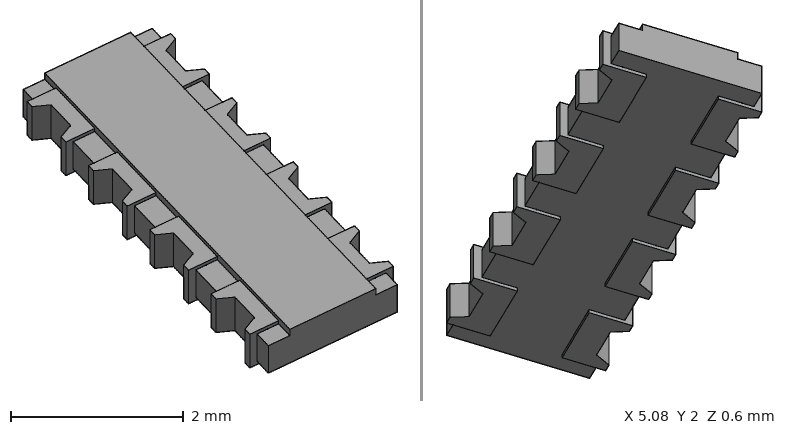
import cadquery as cq

LENGTH = 5.08
TOTAL_WIDTH = 2.0
TOTAL_HEIGHT = 0.6

BODY_WIDTH = 1.8
COVER_WIDTH = 1.2
COVER_THICKNESS = 0.1

TERMINALS_PER_SIDE = 4
PITCH = LENGTH / TERMINALS_PER_SIDE
TERMINAL_WIDTH = 0.805
PLATE_THICKNESS = 0.05
FOOT_LENGTH = 0.55

NOTCH_DEPTH = 0.2
NOTCH_MOUTH_WIDTH = 0.6
NOTCH_FLOOR_WIDTH = 0.405

BODY_BOTTOM = PLATE_THICKNESS
BODY_TOP = TOTAL_HEIGHT - COVER_THICKNESS
TERMINAL_TOP = BODY_TOP + PLATE_THICKNESS
TIP_Y = TOTAL_WIDTH / 2
FLANGE_INNER_Y = COVER_WIDTH / 2
FOOT_INNER_Y = TIP_Y - FOOT_LENGTH
NOTCH_FLOOR_Y = TIP_Y - NOTCH_DEPTH
WALL_INNER_Y = NOTCH_FLOOR_Y - PLATE_THICKNESS

TERMINAL_XS = [(i - (TERMINALS_PER_SIDE - 1) / 2) * PITCH for i in range(TERMINALS_PER_SIDE)]
SIDE_ANGLES = [0, 180]


def layer(width, bottom, top):
    """Full-length block, centred in X and Y, between two levels."""
    return cq.Workplane("XY", origin=(0, 0, bottom)).rect(LENGTH, width).extrude(top - bottom)


def terminal_recess(x, angle):
    """Volume of the body taken up by one terminal wall, open at the body side."""
    depth = BODY_WIDTH / 2 - WALL_INNER_Y
    centre_y = WALL_INNER_Y + depth / 2
    return (
        cq.Workplane("XY", origin=(0, 0, BODY_BOTTOM))
        .center(x, centre_y)
        .rect(TERMINAL_WIDTH, depth)
        .extrude(BODY_TOP - BODY_BOTTOM)
        .rotate((0, 0, 0), (0, 0, 1), angle)
    )


def make_body():
    """Ceramic block and cover layer, recessed along both sides for the terminals."""
    body = layer(BODY_WIDTH, BODY_BOTTOM, BODY_TOP).union(layer(COVER_WIDTH, BODY_TOP, TOTAL_HEIGHT))
    for angle in SIDE_ANGLES:
        for x in TERMINAL_XS:
            body = body.cut(terminal_recess(x, angle))
    return body


def make_terminal(x, angle):
    """C-shaped terminal gripping the body edge, with a notch through its full height."""
    profile = [
        (TIP_Y, 0),
        (TIP_Y, TERMINAL_TOP),
        (FLANGE_INNER_Y, TERMINAL_TOP),
        (FLANGE_INNER_Y, BODY_TOP),
        (WALL_INNER_Y, BODY_TOP),
        (WALL_INNER_Y, BODY_BOTTOM),
        (FOOT_INNER_Y, BODY_BOTTOM),
        (FOOT_INNER_Y, 0),
    ]
    clip = (
        cq.Workplane("YZ", origin=(x, 0, 0))
        .polyline(profile)
        .close()
        .extrude(TERMINAL_WIDTH / 2, both=True)
    )
    notch = (
        cq.Workplane("XY")
        .polyline([
            (x - NOTCH_MOUTH_WIDTH / 2, TIP_Y),
            (x - NOTCH_FLOOR_WIDTH / 2, NOTCH_FLOOR_Y),
            (x + NOTCH_FLOOR_WIDTH / 2, NOTCH_FLOOR_Y),
            (x + NOTCH_MOUTH_WIDTH / 2, TIP_Y),
        ])
        .close()
        .extrude(TERMINAL_TOP)
    )
    return clip.cut(notch).rotate((0, 0, 0), (0, 0, 1), angle)


body = make_body()
terminals = [make_terminal(x, angle) for angle in SIDE_ANGLES for x in TERMINAL_XS]

result = cq.Compound.makeCompound(
    [body.solids().val(), *[terminal.solids().val() for terminal in terminals]]
)